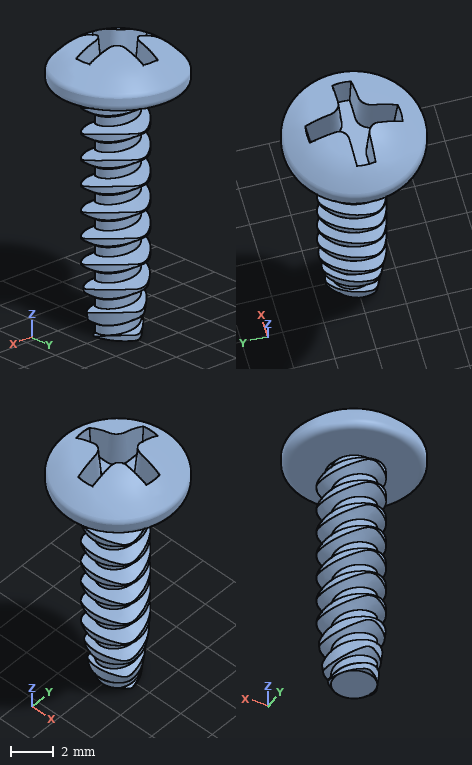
import cadquery as cq
import math

head_radius = 3.43
underside_fillet = 0.37
rim_top = 0.74
dome_edge_height = 0.96
dome_apex_height = 2.459
dome_radius = 4.40
rim_bulge = 0.015

recess_floor = 0.45
recess_floor_half_width = 0.335
recess_floor_tip_radius = 2.055
recess_floor_corner_radius = 0.7
recess_wall_slope = 0.085
recess_tip_slope = 0.17

core_radius = 1.085
shank_length = 12.7

pitch = 1.337
ridge_apex_radius = 1.83
ridge_half_angle = math.radians(30)
ridge_inner_radius = 0.8 * core_radius
ridge_height_at_x_axis = -0.93
lobe_centre_radius = 1.01
lobe_radius = 0.76
extra_turns_above = 2
taper_start = 9.43
taper_slope = 0.125
lobe_angles = (90, 210, 330)

clearance = 0.5


def polar(radius, degrees):
    angle = math.radians(degrees)
    return cq.Vector(radius * math.cos(angle), radius * math.sin(angle), 0)


def dome_height(radius):
    return dome_apex_height - dome_radius + math.sqrt(dome_radius**2 - radius**2)


def dome_edge_radius():
    drop = dome_apex_height - dome_edge_height
    return math.sqrt(dome_radius**2 - (dome_radius - drop) ** 2)


def make_head():
    edge_radius = dome_edge_radius()
    dome_mid_radius = edge_radius / 2
    corner_mid = underside_fillet * (1 - math.sqrt(0.5))
    rim_arc_mid = (
        (head_radius + edge_radius) / 2 + rim_bulge,
        (rim_top + dome_edge_height) / 2 + rim_bulge,
    )
    return (
        cq.Workplane("XZ")
        .lineTo(head_radius - underside_fillet, 0)
        .threePointArc((head_radius - corner_mid, corner_mid), (head_radius, underside_fillet))
        .lineTo(head_radius, rim_top)
        .threePointArc(rim_arc_mid, (edge_radius, dome_edge_height))
        .threePointArc((dome_mid_radius, dome_height(dome_mid_radius)), (0, dome_apex_height))
        .close()
        .revolve(360, (0, 0, 0), (0, 1, 0))
    )


def cross_wire(height):
    """Outline of the recess at a height: four arms with rounded inner corners."""
    rise = height - recess_floor
    half_width = recess_floor_half_width + recess_wall_slope * rise
    tip_radius = recess_floor_tip_radius + recess_tip_slope * rise
    corner_radius = recess_floor_corner_radius - recess_wall_slope * rise
    tip_x = math.sqrt(tip_radius**2 - half_width**2)
    corner = half_width + corner_radius
    corner_mid = corner - corner_radius * math.sqrt(0.5)

    edges = []
    for turn in range(4):
        points = [
            cq.Vector(*xy, height)
            for xy in (
                (corner, -half_width),
                (tip_x, -half_width),
                (tip_radius, 0),
                (tip_x, half_width),
                (corner, half_width),
                (corner_mid, corner_mid),
                (half_width, corner),
            )
        ]
        lower, tip_low, tip_mid, tip_high, upper, bend, finish = points
        arm = [
            cq.Edge.makeLine(lower, tip_low),
            cq.Edge.makeThreePointArc(tip_low, tip_mid, tip_high),
            cq.Edge.makeLine(tip_high, upper),
            cq.Edge.makeThreePointArc(upper, bend, finish),
        ]
        edges += [edge.rotate(cq.Vector(0, 0, 0), cq.Vector(0, 0, 1), 90 * turn) for edge in arm]
    return cq.Wire.assembleEdges(edges)


def make_recess():
    top = dome_apex_height + clearance
    return cq.Solid.makeLoft([cross_wire(recess_floor), cross_wire(top)], True)


def make_screw():
    core = cq.Workplane("XY").circle(core_radius).extrude(-shank_length)
    return make_head().union(core).cut(cq.Workplane(make_recess())).solids()


def lobed_wire(height, inset):
    """Constant-width outline: three small lobe arcs joined tangentially by three wide arcs."""
    small = lobe_radius - inset
    wide = small + math.sqrt(3) * lobe_centre_radius
    lift = cq.Vector(0, 0, height)
    edges = []
    for angle in lobe_angles:
        lobe_centre = polar(lobe_centre_radius, angle) + lift
        next_centre = polar(lobe_centre_radius, angle + 120) + lift
        opposite_centre = polar(lobe_centre_radius, angle + 240) + lift
        lobe_end = lobe_centre + polar(small, angle + 30)
        edges.append(
            cq.Edge.makeThreePointArc(
                lobe_centre + polar(small, angle - 30),
                lobe_centre + polar(small, angle),
                lobe_end,
            )
        )
        edges.append(
            cq.Edge.makeThreePointArc(
                lobe_end,
                opposite_centre + polar(wide, angle + 60),
                next_centre + polar(small, angle + 90),
            )
        )
    return cq.Wire.assembleEdges(edges)


def make_thread_envelope():
    """Lobed prism that bounds the thread, narrowing over its lower end."""
    end_inset = taper_slope * (shank_length - taper_start)
    full_part = cq.Solid.makeLoft([lobed_wire(-taper_start, 0), lobed_wire(0, 0)], True)
    tapered_part = cq.Solid.makeLoft(
        [lobed_wire(-shank_length, end_inset), lobed_wire(-taper_start, 0)], True
    )
    return cq.Workplane(full_part).union(cq.Workplane(tapered_part))


def make_ridge():
    """Right-handed triangular ridge that overshoots both ends of the shank."""
    half_base = (ridge_apex_radius - ridge_inner_radius) * math.tan(ridge_half_angle)
    turns_below = math.ceil(shank_length / pitch)
    turns = turns_below + extra_turns_above
    start = ridge_height_at_x_axis - turns_below * pitch
    path = cq.Wire.makeHelix(pitch, turns * pitch, core_radius)
    return (
        cq.Workplane("XZ")
        .moveTo(ridge_inner_radius, -half_base)
        .lineTo(ridge_apex_radius, 0)
        .lineTo(ridge_inner_radius, half_base)
        .close()
        .sweep(cq.Workplane(path), isFrenet=True)
        .translate((0, 0, start))
    )


def make_thread():
    core_space = (
        cq.Workplane("XY")
        .workplane(offset=clearance)
        .circle(core_radius)
        .extrude(-shank_length - 2 * clearance)
    )
    return make_ridge().intersect(make_thread_envelope()).cut(core_space).solids()


screw = make_screw()
thread = make_thread()
result = cq.Compound.makeCompound([screw.val(), thread.val()])